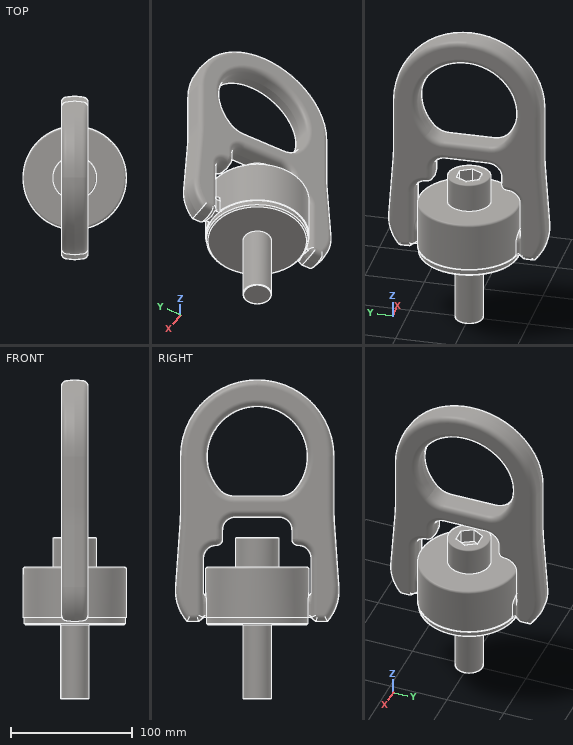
import cadquery as cq
import math


BODY_RADIUS = 42.5
BODY_TOP = 47.5
BODY_TOP_ROUND = 2.0
FOOT_RADIUS = 41.7
FOOT_HEIGHT = 6.0
FOOT_CHAMFER = 1.3

SHANK_RADIUS = 11.7
SHANK_LENGTH = 60.8
SHANK_CHAMFER = 0.5
HEAD_RADIUS = 18.0
HEAD_HEIGHT = 24.0
HEAD_ROUND = 1.0
SOCKET_WIDTH = 19.0
SOCKET_DEPTH = 12.0

SHACKLE_THICKNESS = 22.0
SHACKLE_HALF = SHACKLE_THICKNESS / 2
DRAFT_ANGLE = 6.0
SHACKLE_ROUND = 4.8

BOW_RADIUS = 63.0
BOW_TOP = 201.0
BOW_CENTER_Z = BOW_TOP - BOW_RADIUS
FLARE_START_Z = 96.0
FLARE_RADIUS = 200.0
FLARE_ANGLE = math.radians(4.1)
LEG_WIDEST = 67.1
TOE_TOP_Z = 31.0
TOE_BOTTOM_Z = 2.7
TOE_OUTER_Y = 57.5
TOE_INNER_Y = 48.0

LEG_INNER_Y = 43.9
LOWER_STEP_Z = 65.0
LOWER_STEP_ROUND = 10.0
STEP_CORNER_ROUND = 5.4
UPPER_STEP_Y = 28.3
UPPER_STEP_Z = 88.2
UPPER_STEP_ROUND = 10.2

EYE_RADIUS = 41.0
EYE_FLAT_Z = 105.8
EYE_CORNER_RADIUS = 16.0

LUG_HALF_WIDTH = 7.0
LUG_CENTER_Z = 17.0
LUG_INNER_Y = 32.0
LUG_ROOT_ROUND = 2.5
ROOT_SEARCH_DEPTH = 1.5
RECESS_CLEARANCE = 2.2
RECESS_HALF_WIDTH = LUG_HALF_WIDTH + RECESS_CLEARANCE


def shackle_outline():
    """Closed outline of the bow and both legs in the Y-Z plane, mirrored about Y = 0."""
    flare_y = BOW_RADIUS + FLARE_RADIUS * (1 - math.cos(FLARE_ANGLE))
    flare_z = FLARE_START_Z - FLARE_RADIUS * math.sin(FLARE_ANGLE)
    lower_arc_y = LEG_INNER_Y - LOWER_STEP_ROUND
    lower_arc_z = LOWER_STEP_Z - LOWER_STEP_ROUND
    upper_arc_y = UPPER_STEP_Y - UPPER_STEP_ROUND
    upper_arc_z = UPPER_STEP_Z - UPPER_STEP_ROUND
    return (
        cq.Workplane("YZ")
        .moveTo(0, BOW_TOP)
        .radiusArc((BOW_RADIUS, BOW_CENTER_Z), BOW_RADIUS)
        .lineTo(BOW_RADIUS, FLARE_START_Z)
        .tangentArcPoint((flare_y, flare_z), relative=False)
        .lineTo(LEG_WIDEST, TOE_TOP_Z)
        .tangentArcPoint((TOE_OUTER_Y, TOE_BOTTOM_Z), relative=False)
        .lineTo(TOE_INNER_Y, TOE_BOTTOM_Z)
        .lineTo(LEG_INNER_Y, FOOT_HEIGHT)
        .lineTo(LEG_INNER_Y, lower_arc_z)
        .tangentArcPoint((lower_arc_y, LOWER_STEP_Z), relative=False)
        .lineTo(UPPER_STEP_Y + STEP_CORNER_ROUND, LOWER_STEP_Z)
        .tangentArcPoint((UPPER_STEP_Y, LOWER_STEP_Z + STEP_CORNER_ROUND), relative=False)
        .lineTo(UPPER_STEP_Y, upper_arc_z)
        .tangentArcPoint((upper_arc_y, UPPER_STEP_Z), relative=False)
        .lineTo(0, UPPER_STEP_Z)
        .mirrorY()
    )


def eye_outline():
    """Closed outline of the eye, its corner arcs tangent to circle and flat."""
    center_gap = EYE_RADIUS - EYE_CORNER_RADIUS
    corner_z = EYE_FLAT_Z + EYE_CORNER_RADIUS
    drop = BOW_CENTER_Z - corner_z
    corner_y = math.sqrt(center_gap**2 - drop**2)
    tangent_y = corner_y * EYE_RADIUS / center_gap
    tangent_z = BOW_CENTER_Z - drop * EYE_RADIUS / center_gap
    return (
        cq.Workplane("YZ")
        .moveTo(-corner_y, EYE_FLAT_Z)
        .lineTo(corner_y, EYE_FLAT_Z)
        .tangentArcPoint((tangent_y, tangent_z), relative=False)
        .threePointArc((0, BOW_CENTER_Z + EYE_RADIUS), (-tangent_y, tangent_z))
        .tangentArcPoint((-corner_y, EYE_FLAT_Z), relative=False)
        .close()
    )


def make_shackle():
    half = shackle_outline().extrude(SHACKLE_HALF, taper=DRAFT_ANGLE)
    half = half.cut(eye_outline().extrude(SHACKLE_HALF, taper=-DRAFT_ANGLE))
    half = half.faces(">X").edges().fillet(SHACKLE_ROUND)
    shackle = half.union(half.mirror("YZ"))
    for side in (1, -1):
        shackle = shackle.union(arch(LUG_HALF_WIDTH, side * LUG_INNER_Y, side * TOE_INNER_Y))
        root_edges = cq.selectors.BoxSelector(
            (-SHACKLE_HALF, side * LEG_INNER_Y - ROOT_SEARCH_DEPTH, FOOT_HEIGHT + ROOT_SEARCH_DEPTH / 2),
            (SHACKLE_HALF, side * LEG_INNER_Y + ROOT_SEARCH_DEPTH, LUG_CENTER_Z + LUG_HALF_WIDTH),
        )
        shackle = shackle.edges(root_edges).fillet(LUG_ROOT_ROUND)
    return shackle


def arch(half_width, y_start, y_end):
    """Round-topped block along Y standing on the foot flange."""
    return (
        cq.Workplane("XZ", origin=(0, y_start, 0))
        .moveTo(-half_width, FOOT_HEIGHT)
        .lineTo(half_width, FOOT_HEIGHT)
        .lineTo(half_width, LUG_CENTER_Z)
        .threePointArc((0, LUG_CENTER_Z + half_width), (-half_width, LUG_CENTER_Z))
        .close()
        .extrude(y_start - y_end)
    )


def make_body():
    foot = cq.Workplane("XY").circle(FOOT_RADIUS).extrude(FOOT_HEIGHT)
    foot = foot.faces("<Z").edges().chamfer(FOOT_CHAMFER)
    drum = (
        cq.Workplane("XY", origin=(0, 0, FOOT_HEIGHT))
        .circle(BODY_RADIUS)
        .extrude(BODY_TOP - FOOT_HEIGHT)
        .faces(">Z").edges().fillet(BODY_TOP_ROUND)
    )
    for side in (1, -1):
        drum = drum.cut(arch(RECESS_HALF_WIDTH, side * LUG_INNER_Y, side * (BODY_RADIUS + 1)))
    return foot.union(drum)


def make_screw():
    shank = (
        cq.Workplane("XY")
        .circle(SHANK_RADIUS)
        .extrude(-SHANK_LENGTH)
        .faces("<Z").edges().chamfer(SHANK_CHAMFER)
    )
    head = (
        cq.Workplane("XY", origin=(0, 0, BODY_TOP))
        .circle(HEAD_RADIUS)
        .extrude(HEAD_HEIGHT)
        .faces(">Z").edges().fillet(HEAD_ROUND)
        .faces(">Z").workplane()
        .polygon(6, SOCKET_WIDTH / math.cos(math.pi / 6))
        .cutBlind(-SOCKET_DEPTH)
    )
    return shank, head


result = make_body()
for screw_part in make_screw():
    result = result.union(screw_part)
result = result.union(make_shackle())